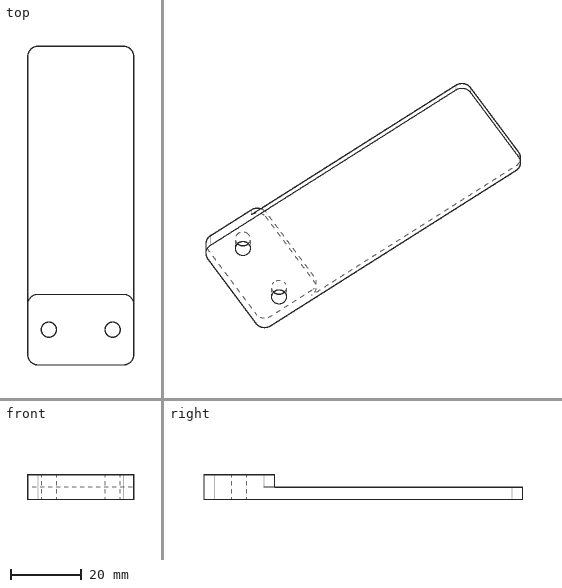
import cadquery as cq

length = 90.0
width = 30.0
total_height = 7.0
plate_thickness = total_height / 2
pad_length = 20.0
corner_radius = 3.0
hole_diameter = 4.2
hole_spacing = 18.0


def rounded_block(block_length, height):
    """Block centred on X, starting at Y = 0 and Z = 0, with rounded upright edges."""
    return (
        cq.Workplane("XY")
        .box(width, block_length, height, centered=(True, False, False))
        .edges("|Z")
        .fillet(corner_radius)
    )


plate = rounded_block(length, plate_thickness)
pad = rounded_block(pad_length, total_height)
body = plate.union(pad)

hole_centers = [(side * hole_spacing / 2, pad_length / 2) for side in (-1, 1)]
holes = (
    cq.Workplane("XY")
    .pushPoints(hole_centers)
    .circle(hole_diameter / 2)
    .extrude(total_height)
)

result = body.cut(holes)